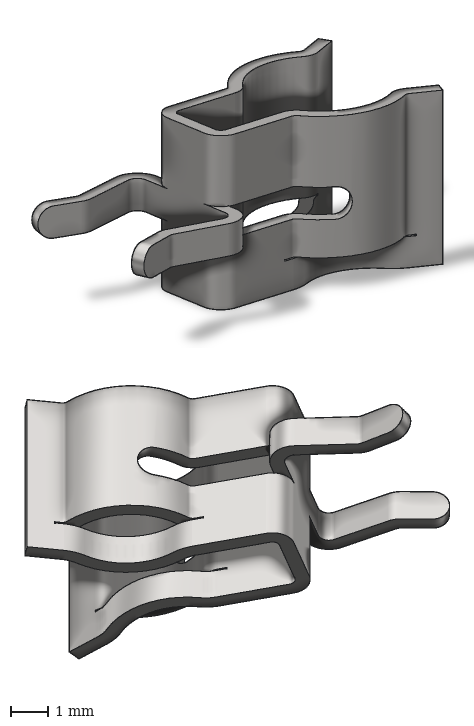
import cadquery as cq
import math

sheet = 0.4
height = 5.0
mid_z = height / 2

channel_half_width = 1.35
corner_radius = 0.4
wall_end_y = 2.59

seat_radius = 2.25
grip_bend_radius = 0.4
seat_exit_angle = 28.4
flare_angle = 25.0
flare_length = 0.92

spring_wall_end_y = 2.66
spring_bend_radius = 1.2
spring_radius = 2.15
spring_entry_angle = 24.3

slit_z = 0.92
slit_width = 0.04
slit_start_y = 2.35
slit_end_y = 6.25

leg_width = 0.93
slot_angle = 30.7
leg_bend_x = 1.62
leg_bend_radius = 0.5
leg_angle = 13.2
shank_length = 1.665
foot_angle = 16.5
foot_length = 1.285

clearance = 1.0


def unit(heading):
    """Unit vector pointing along a heading in degrees, counter-clockwise from +X."""
    angle = math.radians(heading)
    return cq.Vector(math.cos(angle), math.sin(angle))


def straight(length):
    return ("straight", length, 0)


def bend(radius, turn):
    """A bend of the mid-surface; positive turns go counter-clockwise."""
    return ("bend", radius, turn)


def trace_face(start, heading, steps, offset):
    """Follow the steps; return one sheet face's start, edges and end, and the last mid point."""
    position = start
    face_start = position + unit(heading + 90) * offset
    point = face_start
    edges = []
    for kind, size, turn in steps:
        if kind == "straight":
            position = position + unit(heading) * size
            next_point = position + unit(heading + 90) * offset
            edges.append(cq.Edge.makeLine(point, next_point))
        else:
            side = math.copysign(90, turn)
            centre = position + unit(heading + side) * size
            face_radius = size - offset * math.copysign(1, turn)
            middle = centre - unit(heading + turn / 2 + side) * face_radius
            heading += turn
            position = centre - unit(heading + side) * size
            next_point = centre - unit(heading + side) * face_radius
            edges.append(cq.Edge.makeThreePointArc(point, middle, next_point))
        point = next_point
    return face_start, edges, point, position


def path_end(start, heading, steps):
    """Mid-surface point reached at the end of the steps."""
    return trace_face(start, heading, steps, 0)[3]


def bent_strip(start, heading, steps, bottom, top):
    """Sheet following the steps in plan, standing between two Z levels."""
    left_start, left_edges, left_end, _ = trace_face(start, heading, steps, sheet / 2)
    right_start, right_edges, right_end, _ = trace_face(start, heading, steps, -sheet / 2)
    start_edge = cq.Edge.makeLine(left_start, right_start)
    end_edge = cq.Edge.makeLine(left_end, right_end)
    outline = cq.Wire.assembleEdges(left_edges + [end_edge] + right_edges[::-1] + [start_edge])
    strip = cq.Solid.extrudeLinear(outline, [], cq.Vector(0, 0, top - bottom))
    return cq.Workplane(obj=strip.translate(cq.Vector(0, 0, bottom)))


base_middle = cq.Vector(0, sheet / 2)
base_heading = 180
arm_heading = 90
corner_outer_radius = corner_radius + sheet / 2
base_flat_half = channel_half_width - corner_outer_radius

bend_centre_x = channel_half_width - sheet / 2 + grip_bend_radius
centre_distance = grip_bend_radius + seat_radius
seat_entry_angle = math.degrees(math.acos(bend_centre_x / centre_distance))
seat_centre_y = wall_end_y + math.sqrt(centre_distance**2 - bend_centre_x**2)

arm_reach = channel_half_width + seat_radius


def channel_steps(wall_end):
    return [
        straight(base_flat_half),
        bend(corner_radius, -90),
        straight(wall_end - corner_outer_radius),
    ]


def grip_steps():
    """Wall, tangent bend into the seat, seat and flare."""
    return channel_steps(wall_end_y) + [
        bend(grip_bend_radius, seat_entry_angle),
        bend(seat_radius, -(seat_entry_angle + seat_exit_angle)),
        bend(grip_bend_radius, seat_exit_angle + flare_angle),
        straight(flare_length),
    ]


def spring_steps():
    """Wall, inward bulge and a last bend that runs tangentially into the flare of the grip."""
    flare_tip = path_end(base_middle, base_heading, grip_steps())
    flare_heading = arm_heading + flare_angle
    flare_normal = unit(flare_heading - 90)

    steps = channel_steps(spring_wall_end_y) + [bend(spring_bend_radius, -spring_entry_angle)]
    bulge_start = path_end(base_middle, base_heading, steps)
    bulge_centre = bulge_start + unit(arm_heading - spring_entry_angle + 90) * spring_radius
    centre_offset = (bulge_centre - flare_tip).dot(flare_normal)
    cosine = (spring_bend_radius - centre_offset) / (spring_bend_radius + spring_radius)
    back_turn = math.degrees(math.acos(cosine))

    steps += [
        bend(spring_radius, spring_entry_angle + flare_angle + back_turn),
        bend(spring_bend_radius, -back_turn),
    ]
    flare_start = path_end(base_middle, base_heading, steps)
    return steps + [straight((flare_tip - flare_start).Length)]


def leg_steps():
    return [
        straight(leg_bend_x),
        bend(leg_bend_radius, 90 + leg_angle),
        straight(shank_length),
        bend(leg_bend_radius, -(leg_angle + foot_angle)),
        straight(foot_length),
    ]


def make_arm():
    """Left half of the channel with the slit above its spring."""
    grip = bent_strip(base_middle, base_heading, grip_steps(), slit_z, height)
    spring = bent_strip(base_middle, base_heading, spring_steps(), 0, slit_z)
    slit_length = slit_end_y - slit_start_y
    slit = (
        cq.Workplane(origin=(-arm_reach, slit_start_y, slit_z))
        .box(arm_reach, slit_length, slit_width, centered=(False, False, True))
    )
    return grip.union(spring).cut(slit)


def make_slot():
    """Opening the leg is bent out of; its round end is square to the seat, and it clears the corner bend."""
    slope = math.tan(math.radians(slot_angle))
    straight_part = (
        cq.Workplane(origin=(0, 0, mid_z - leg_width / 2))
        .moveTo(-base_flat_half, -clearance)
        .lineTo(-base_flat_half, seat_centre_y - base_flat_half * slope)
        .lineTo(-arm_reach, seat_centre_y - arm_reach * slope)
        .lineTo(-arm_reach, -clearance)
        .close()
        .extrude(leg_width)
    )
    radial = unit(180 + slot_angle)
    round_centre = cq.Vector(0, seat_centre_y, mid_z) + radial * seat_radius
    round_end = cq.Workplane(cq.Plane(origin=round_centre, normal=radial))
    return straight_part.union(round_end.circle(leg_width / 2).extrude(sheet, both=True))


def make_leg():
    """Leg with a fully rounded foot."""
    leg = bent_strip(base_middle, base_heading, leg_steps(), mid_z - leg_width / 2, mid_z + leg_width / 2)
    foot_tip = path_end(base_middle, base_heading, leg_steps())
    along_foot = unit(-90 - foot_angle)
    round_centre = foot_tip - along_foot * (leg_width / 2)
    foot_plane = cq.Plane(
        origin=(round_centre.x, round_centre.y, mid_z), xDir=along_foot, normal=unit(-foot_angle)
    )
    corners = (
        cq.Workplane(foot_plane)
        .center(leg_width / 2, 0)
        .rect(leg_width, 2 * leg_width)
        .extrude(sheet, both=True)
    )
    rounding = cq.Workplane(foot_plane).circle(leg_width / 2).extrude(sheet, both=True)
    return leg.cut(corners.cut(rounding))


left_half = make_arm().cut(make_slot()).union(make_leg())
result = left_half.union(left_half.mirror("YZ"))